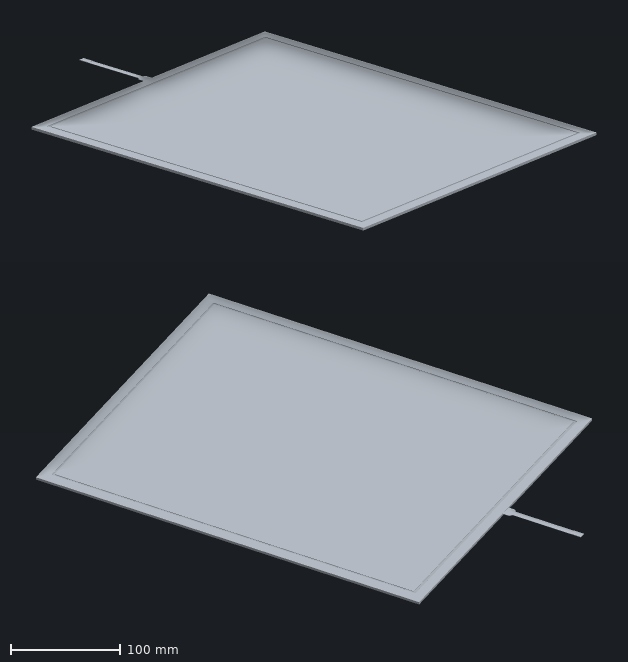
import cadquery as cq

overall_length = 480.5
panel_width = 326.5
panel_thickness = 2.6
tail_reach = 80.5
panel_length = overall_length - tail_reach

groove_depth = 0.5
outer_margin_left = 9.5
outer_margin = 10.5
inner_margin = 12.5

tail_thickness = 0.3
tail_width = 6.0
tail_root_width = 11.0
tail_root_length = 6.5
tail_taper_length = 2.5
contact_length = 10.5
contact_thickness = 0.6
tail_top = 2.3

half_width = panel_width / 2


def block(x_min, x_max, y_min, y_max, z_min, z_max):
    """Box given by its limits along each axis."""
    size = (x_max - x_min, y_max - y_min, z_max - z_min)
    return cq.Workplane("XY").box(*size, centered=False).translate((x_min, y_min, z_min))


def inset_block(left_margin, margin, z_min, z_max):
    """Box inset from the panel's left edge and from its three other edges."""
    y_limit = half_width - margin
    return block(left_margin, panel_length - margin, -y_limit, y_limit, z_min, z_max)


def make_panel():
    """Rectangular plate with a shallow groove around its active area."""
    plate = inset_block(0, 0, 0, panel_thickness)
    groove_floor = panel_thickness - groove_depth
    groove = inset_block(outer_margin_left, outer_margin, groove_floor, panel_thickness)
    active_area = inset_block(inner_margin, inner_margin, groove_floor, panel_thickness)
    return plate.cut(groove.cut(active_area))


def make_tail():
    """Flat strip with a wide tapered root at the panel and a thicker contact end."""
    half_tail = tail_width / 2
    half_root = tail_root_width / 2
    taper_end = -tail_root_length
    taper_start = taper_end - tail_taper_length
    strip = (
        cq.Workplane("XY")
        .workplane(offset=tail_top - tail_thickness)
        .moveTo(0, -half_root)
        .lineTo(0, half_root)
        .lineTo(taper_end, half_root)
        .lineTo(taper_start, half_tail)
        .lineTo(-tail_reach, half_tail)
        .lineTo(-tail_reach, -half_tail)
        .lineTo(taper_start, -half_tail)
        .lineTo(taper_end, -half_root)
        .close()
        .extrude(tail_thickness)
    )
    contact_end = block(
        -tail_reach,
        contact_length - tail_reach,
        -half_tail,
        half_tail,
        tail_top - tail_thickness,
        tail_top - tail_thickness + contact_thickness,
    )
    return strip.union(contact_end)


panel = make_panel()
tail = make_tail()

result = cq.Compound.makeCompound([panel.val(), tail.val()])